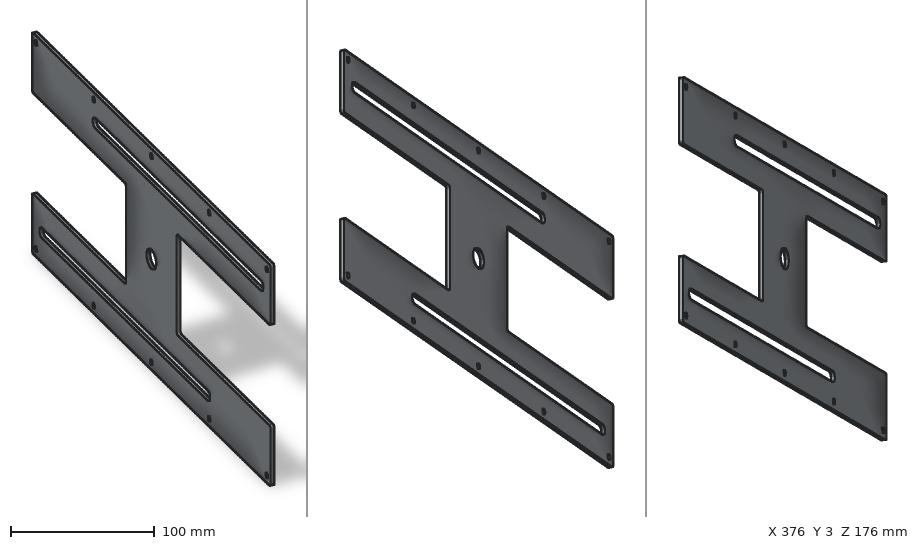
import cadquery as cq

LENGTH = 376.0
HEIGHT = 176.0
THICKNESS = 3.0
NECK_WIDTH = 80.0
WINDOW_HEIGHT = 80.0
CORNER_RADIUS = 2.0

CENTER_HOLE_DIAMETER = 15.0

EDGE_HOLE_DIAMETER = 4.0
EDGE_HOLE_INSET = 6.0
EDGE_HOLES_PER_ROW = 5

SLOT_WIDTH = 8.0
SLOT_LENGTH = 269.0
SLOT_SHIFT_X = 42.0
SLOT_OFFSET_Z = 64.5


def make_plate():
    """H-shaped plate with all outline corners rounded."""
    plate = cq.Workplane("XZ").rect(LENGTH, HEIGHT).extrude(THICKNESS / 2, both=True)
    window_width = (LENGTH - NECK_WIDTH) / 2
    window_x = (NECK_WIDTH + window_width) / 2
    windows = (
        cq.Workplane("XZ")
        .pushPoints([(-window_x, 0), (window_x, 0)])
        .rect(window_width, WINDOW_HEIGHT)
        .extrude(THICKNESS, both=True)
    )
    return plate.cut(windows).edges("|Y").fillet(CORNER_RADIUS)


def edge_hole_points():
    """Centres of the evenly spaced holes in both rows."""
    end_x = LENGTH / 2 - EDGE_HOLE_INSET
    row_z = HEIGHT / 2 - EDGE_HOLE_INSET
    pitch = 2 * end_x / (EDGE_HOLES_PER_ROW - 1)
    return [(-end_x + i * pitch, z) for z in (-row_z, row_z) for i in range(EDGE_HOLES_PER_ROW)]


def round_holes(points, diameter):
    """Cutters for through holes at the given XZ points."""
    return cq.Workplane("XZ").pushPoints(points).circle(diameter / 2).extrude(THICKNESS, both=True)


def rail_slots():
    """Cutters for the two round-ended slots, half a turn apart about the centre."""
    slot_centers = [(SLOT_SHIFT_X, SLOT_OFFSET_Z), (-SLOT_SHIFT_X, -SLOT_OFFSET_Z)]
    return (
        cq.Workplane("XZ")
        .pushPoints(slot_centers)
        .slot2D(SLOT_LENGTH, SLOT_WIDTH)
        .extrude(THICKNESS, both=True)
    )


result = (
    make_plate()
    .cut(round_holes([(0, 0)], CENTER_HOLE_DIAMETER))
    .cut(round_holes(edge_hole_points(), EDGE_HOLE_DIAMETER))
    .cut(rail_slots())
)